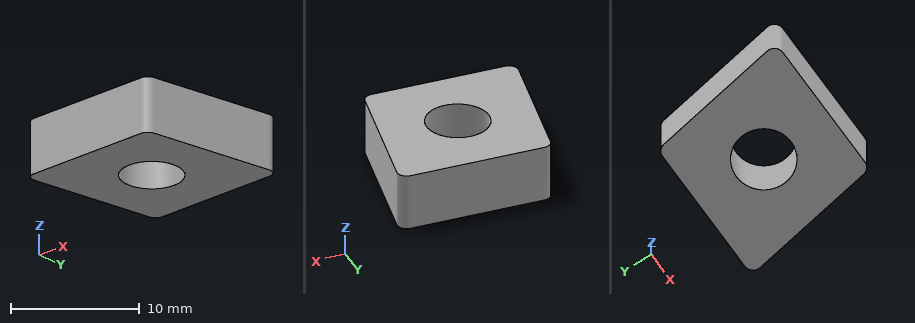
import cadquery as cq
import math

length = 14.83
thickness = 4.76
corner_radius = 0.8
hole_diameter = 5.16
acute_angle = math.radians(80)

tangent_ratio = 1 / math.tan(acute_angle / 2)
sharp_length = length + 2 * corner_radius * (tangent_ratio - 1)

side = sharp_length / (1 + math.cos(acute_angle))
width = side * math.sin(acute_angle)
slant = side * math.cos(acute_angle)

left = -sharp_length / 2
right = sharp_length / 2
corners = [
    (left, -width / 2),
    (left + side, -width / 2),
    (right, width / 2),
    (left + slant, width / 2),
]

body = cq.Workplane("XY").polyline(corners).close().extrude(thickness)
body = body.edges("|Z").fillet(corner_radius)

result = body.faces(">Z").workplane(origin=(0, 0, thickness)).hole(hole_diameter)